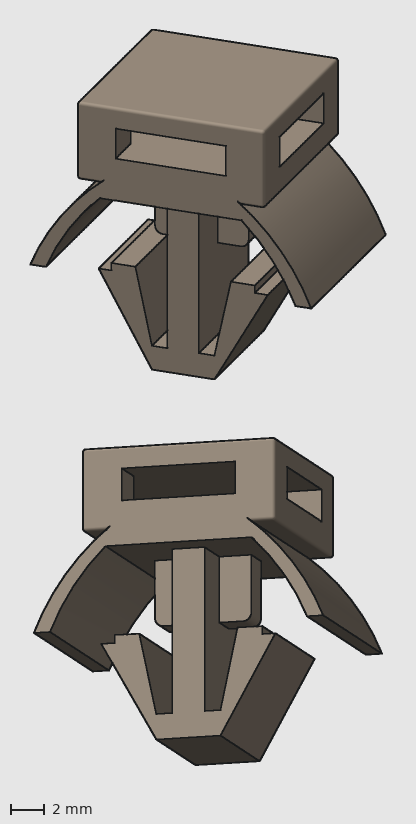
import cadquery as cq

head_side = 12.0
head_height = 5.0
total_height = 17.5
head_bottom = total_height - head_height
edge_radius = 0.2
slot_width = 7.05
slot_height = 1.95
slot_bottom = 14.22
slot_middle = slot_bottom + slot_height / 2

wing_span = 18.0
wing_tip_width = 1.0
wing_tip_z = 6.5
saddle_bottom = 11.5
outer_root = (4.28, head_bottom + edge_radius)
outer_middle = (6.98, 10.0)
outer_tip = (wing_span / 2, wing_tip_z)
inner_tip = (wing_span / 2 - wing_tip_width, wing_tip_z)
inner_middle = (6.28, 9.54)
inner_root = (4.54, saddle_bottom)

foot_depth = 8.0
stem_half_width = 1.0
foot_bottom_half_width = 2.0
barb_half_width = 5.42
barb_shelf_z = 6.01
barb_top_z = wing_tip_z
barb_top_outer = 4.59
barb_top_inner = 3.06
gap_floor_z = 1.55

rib_width = 6.0
rib_thickness = 2.0
rib_bottom = 7.5
rib_corner_radius = 0.5


def mirror_x(point):
    return (-point[0], point[1])


def extrude_centered(profile, depth):
    """Extrude an XZ profile equally to both sides of Y = 0."""
    return profile.extrude(depth / 2, both=True)


def make_head():
    head = cq.Workplane("XY").workplane(offset=head_bottom).rect(head_side, head_side)
    return head.extrude(head_height).edges().fillet(edge_radius)


def make_slots():
    along_x = cq.Workplane("XY").box(head_side, slot_width, slot_height)
    along_y = cq.Workplane("XY").box(slot_width, head_side, slot_height)
    return along_x.union(along_y).translate((0, 0, slot_middle))


def make_wings():
    profile = (
        cq.Workplane("XZ")
        .moveTo(*outer_root)
        .threePointArc(outer_middle, outer_tip)
        .lineTo(*inner_tip)
        .threePointArc(inner_middle, inner_root)
        .lineTo(*mirror_x(inner_root))
        .threePointArc(mirror_x(inner_middle), mirror_x(inner_tip))
        .lineTo(*mirror_x(outer_tip))
        .threePointArc(mirror_x(outer_middle), mirror_x(outer_root))
        .close()
    )
    return extrude_centered(profile, head_side)


def make_foot():
    right_side = [
        (foot_bottom_half_width, 0),
        (barb_half_width, barb_shelf_z),
        (barb_top_outer, barb_shelf_z),
        (barb_top_outer, barb_top_z),
        (barb_top_inner, barb_top_z),
        (foot_bottom_half_width, gap_floor_z),
        (stem_half_width, gap_floor_z),
        (stem_half_width, saddle_bottom),
    ]
    left_side = [mirror_x(point) for point in reversed(right_side)]
    profile = cq.Workplane("XZ").polyline(right_side + left_side).close()
    return extrude_centered(profile, foot_depth)


def make_rib():
    rib_height = saddle_bottom - rib_bottom
    rib = cq.Workplane("XY").box(rib_width, rib_thickness, rib_height, centered=(True, True, False))
    rib = rib.edges("|Y and <Z").fillet(rib_corner_radius)
    return rib.translate((0, 0, rib_bottom))


result = make_head().union(make_wings()).union(make_foot()).union(make_rib()).cut(make_slots())